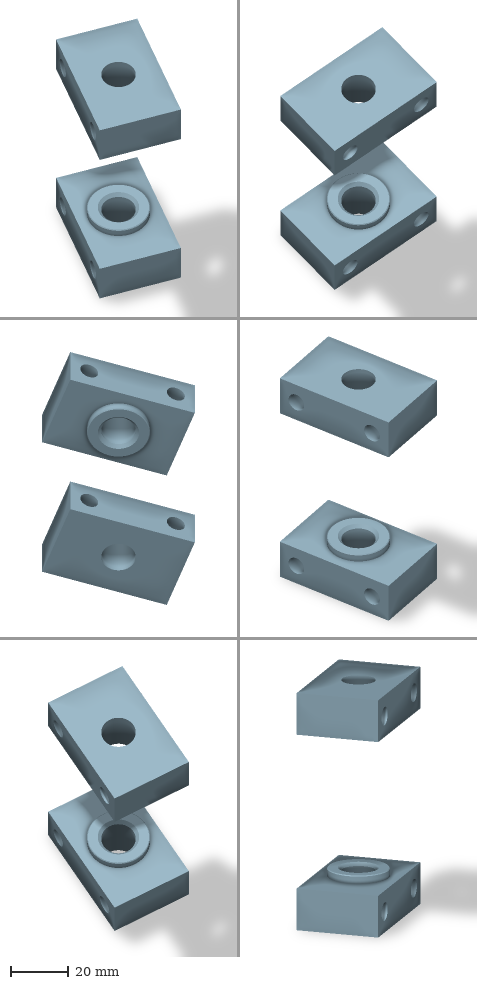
import cadquery as cq

overall_height = 86.0
block_length = 46.0
block_width = 30.0
block_height = 15.1

boss_diameter = 22.0
boss_height = 2.9
boss_chamfer = 0.3

bore_diameter = 12.0
bore_mouth_diameter = 14.45
bore_chamfer = (bore_mouth_diameter - bore_diameter) / 2

mount_hole_diameter = 6.6
mount_hole_spacing = 32.0


def make_bearing_block():
    """Block standing on Z = 0 with its boss pointing up."""
    block = cq.Workplane("XY").box(
        block_length, block_width, block_height, centered=(True, True, False)
    )
    boss = (
        cq.Workplane("XY", origin=(0, 0, block_height))
        .circle(boss_diameter / 2)
        .extrude(boss_height)
        .faces(">Z")
        .edges()
        .chamfer(boss_chamfer)
    )
    bore = cq.Workplane("XY").circle(bore_diameter / 2).extrude(block_height + boss_height)
    body = block.union(boss).cut(bore)
    body = body.faces(">Z").edges(cq.selectors.RadiusNthSelector(0)).chamfer(bore_chamfer)

    mount_holes = (
        cq.Workplane("XZ", origin=(0, 0, block_height / 2))
        .pushPoints([(-mount_hole_spacing / 2, 0), (mount_hole_spacing / 2, 0)])
        .circle(mount_hole_diameter / 2)
        .extrude(block_width / 2, both=True)
    )
    return body.cut(mount_holes)


mid_height = overall_height / 2
bearing_blocks = []
for turn_angle in (0, 180):
    bearing_block = make_bearing_block().rotate(
        (0, 0, mid_height), (1, 0, mid_height), turn_angle
    )
    bearing_blocks.append(bearing_block.val())

result = cq.Compound.makeCompound(bearing_blocks)